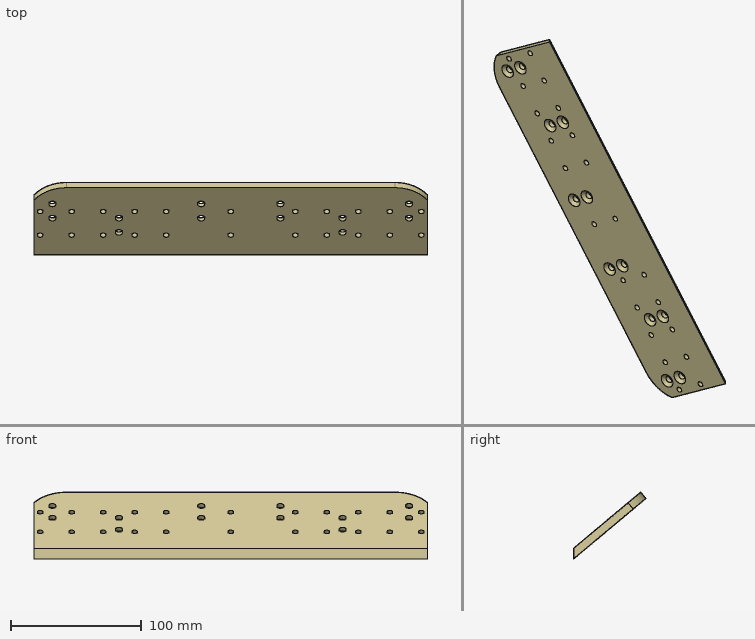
import cadquery as cq
import math

length = 301.5
depth = 55.5
thickness = 6.3
slope_angle = 39.9
slope = math.radians(slope_angle)

underside_run = depth / math.cos(slope)
front_bevel_run = thickness * math.tan(slope)
plate_run = underside_run - front_bevel_run

corner_radius = 31.0
corner_width = 25.0

small_diameter = 4.2
small_rows = (19.5, 43.0)
small_inner_column = 49.5
small_pitch = 24.0
small_side_columns = 5

large_diameter = 5.5
land = 4.0
countersink_diameter = 11.0
large_pair_pitch = 14.2
inner_pair_run = 22.3
outer_pair_run = inner_pair_run + large_pair_pitch
end_pair_x = 136.5
inner_pair_x = 85.7
center_pair_x = (-22.5, 38.0)


def sloped_plane():
    """Plane of the upper face: local x along X, local y up the slope."""
    front_edge_height = thickness / math.cos(slope)
    normal = (0, -math.sin(slope), math.cos(slope))
    return cq.Plane(origin=(0, 0, front_edge_height), xDir=(1, 0, 0), normal=normal)


def make_plate():
    """Board with rounded rear corners and its front edge cut vertical."""
    half = length / 2
    arc_start_x = half - corner_width
    center_run = plate_run - corner_radius
    arc_end_angle = math.acos(corner_width / corner_radius)
    arc_middle_angle = (math.pi / 2 + arc_end_angle) / 2
    end_run = center_run + corner_radius * math.sin(arc_end_angle)
    middle_x = arc_start_x + corner_radius * math.cos(arc_middle_angle)
    middle_run = center_run + corner_radius * math.sin(arc_middle_angle)

    board = (
        cq.Workplane(sloped_plane())
        .moveTo(-half, -front_bevel_run)
        .lineTo(half, -front_bevel_run)
        .lineTo(half, end_run)
        .threePointArc((middle_x, middle_run), (arc_start_x, plate_run))
        .lineTo(-arc_start_x, plate_run)
        .threePointArc((-middle_x, middle_run), (-half, end_run))
        .close()
        .extrude(-thickness)
    )
    behind_front = cq.Workplane("XY").box(length, depth, length, centered=(True, False, True))
    return board.intersect(behind_front)


def small_hole_points():
    """Small hole centers as (x, run) on the upper face."""
    columns = [0.0]
    for index in range(small_side_columns):
        x = small_inner_column + index * small_pitch
        columns += [-x, x]
    return [(x, run) for x in columns for run in small_rows]


def large_hole_points():
    """Large hole centers as (x, run) on the upper face."""
    pairs = [(x, outer_pair_run) for x in (-end_pair_x, *center_pair_x, end_pair_x)]
    pairs += [(x, inner_pair_run) for x in (-inner_pair_x, inner_pair_x)]
    return [(x, run + step) for x, run in pairs for step in (0, large_pair_pitch)]


def make_holes(points, diameter):
    """Cylinders through the plate, square to its upper face."""
    return cq.Workplane(sloped_plane()).pushPoints(points).circle(diameter / 2).extrude(-thickness)


def make_countersinks(points):
    """Cones that narrow from the underside to the bottom of each land."""
    mouth_radius = countersink_diameter / 2
    height = thickness - land
    cone_angle = math.degrees(math.atan2(mouth_radius - large_diameter / 2, height))
    underside = cq.Workplane(sloped_plane()).workplane(offset=-thickness)
    return underside.pushPoints(points).circle(mouth_radius).extrude(height, taper=cone_angle)


large_points = large_hole_points()
result = (
    make_plate()
    .cut(make_holes(small_hole_points(), small_diameter))
    .cut(make_holes(large_points, large_diameter))
    .cut(make_countersinks(large_points))
)